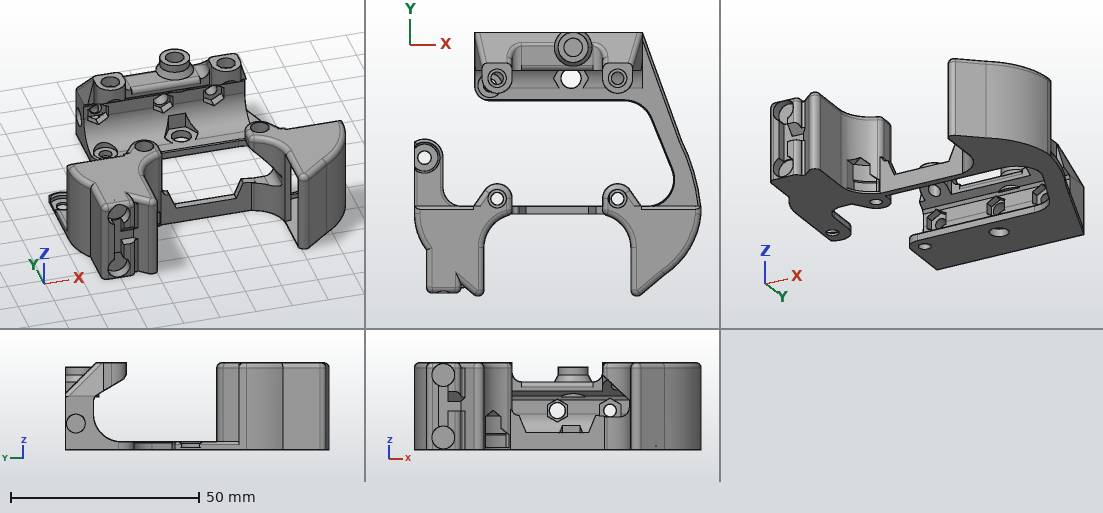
import cadquery as cq
import math


LEFT = -38.0
RIGHT = 38.2
BACK = 28.2
TOP = 23.2
PLATE = 2.2
DIAGONAL = math.sqrt(0.5)
DIAGONAL_GAP = 1 - DIAGONAL
CLEAR = 1.0

SCREW = 16.0
POST_R = 4.0
POST_SIDE = SCREW - POST_R
BORE_R = 2.45
BORE_DEPTH = 5.0
REAR_BORE_DEPTH = 3.0
SCREW_R = 1.65

REAR_FACE = -18.0
WALL_FACE = -20.1
MOUTH = 19.5
COVE_R = 8.9
COVE_X = MOUTH - COVE_R
COVE_Y = WALL_FACE - COVE_R
TIP_Y = -41.9
TIP_FLANK_X = 22.2
TIP_FLANK_RISE = 0.4
TIP_MIDDLE_RISE = 0.14
TIP_MOUTH_RISE = 1.6
TOP_FILLET = 1.5
POST_CORNER_R = 1.6
REAR_BEVEL = 0.8
POST_SLANT = math.radians(35)

NOSE_LEFT = -34.8
NOSE_RIGHT = -25.6
NOSE_FRONT = -41.1
NOTCH_Y = -38.6
WEB_RIGHT = -24.2
WEB_FRONT = -39.7
WEB_EDGE_R = 1.0
NOSE_CORNER_R = 1.6
MAGNET_X = -30.3
MAGNET_R = 3.03
MAGNET_DEPTH = 3.0
MAGNET_HEIGHTS = (3.3, 19.9)
GROOVE_DEPTH = 2.6
GROOVE_LEFT, GROOVE_RIGHT = -31.6, -29.0
WIRE_NOTCH_FLOOR = 10.3
WIRE_NOTCH_ROOF = 12.9

POCKET_LEFT = -19.1
POCKET_PEAK_RIGHT = -15.0
POCKET_RIGHT = -12.8
POCKET_FLOOR = 0.6
LOWER_SHOULDER = 4.0
LOWER_ROOF = 5.8
LOWER_DEPTH = 1.8
UPPER_SHOULDER = 8.8
UPPER_ROOF = 10.5
UPPER_DEPTH = 1.5

SHELL = 1.5
DUCT_TOP = TOP - SHELL
DUCT_LIP = 0.3
DUCT_FRONT = -40.2
DUCT_SIDE_Y = -28.2
LEDGE = 8.8
WINDOW_SIDE = 19.1
WINDOW_SIDE_TOP = 13.2
WINDOW_TOP = 19.9
WINDOW_R = 2.5

DIP_FLOOR = 4.6
DIP_HALF_FLOOR = 8.3
DIP_HALF_TOP = 10.2
DIP_SHOULDER = 9.2
LEFT_SHOULDER_TOP = 10.7

ARM_ELBOW_X = 22.9
ARM_ELBOW_R = 7.7
ARM_HEEL_X = 34.35
ARM_HEEL_R = 7.1
ARM_ROOT_X = 23.0
ARM_OUTER_BEVEL = 0.7
PLATE_FRONT_BEVEL = 0.3

EAR_X, EAR_Y, EAR_R = -35.3, -5.1, 4.95
EAR_ROOT_R = 5.0
EAR_EDGE_R = 0.7
EAR_HOLE_R = 1.75
EAR_SEAT_R = 3.6
EAR_SEAT_Z = 0.7
EAR_RIM_R = 4.1
EAR_RIM_DEPTH = 0.5
EAR_RIM_BEVEL = 0.49

BLOCK_LEFT = -22.0
BLOCK_RIGHT = 22.6
BLOCK_CORNER_R = 4.1
CORNER_SCREW_R = 1.7
CORNER_SEAT_R = 3.2
CORNER_SEAT_Z = 1.7
PLATE_FRONT = 10.0
WALL_INNER = 20.7
WALL_TOP = 13.3
WALL_LIMIT = 13.5
SCOOP_FRONT = 13.4
SCOOP_R = WALL_INNER - SCOOP_FRONT
UNDERCUT_Y, UNDERCUT_Z = 20.2, 14.35
POST_TOE_Y, POST_TOE_Z = 12.6, 18.9
POST_FRONT_Z = 20.1
ARM_BASE = 14.3
BACK_SLOPE = 43.2
SLOPE_FOOT = BACK_SLOPE - BACK
ARM_EDGE_R = 1.4
ARM_BLEND_R = 2.5
RAIL_FRONT = 18.0
RAIL_TOP = 18.1
RAIL_FILLET = 1.4
STUB_X = 4.2
STUB_Y = BACK - POST_R
STUB_TOP = 22.0
STUB_FLARE = 1.0
STUB_FLARE_HEIGHT = 1.8
NUT_Z = 10.45
NUT_DEPTH = 2.5
WALL_NUTS = ((-18.0, 5.7, SCREW_R), (0.0, 5.3, 2.1), (14.0, 5.7, SCREW_R))
FLOOR_NUT_X = 3.64
FLOOR_NUT_FLATS = 8.1
FLOOR_NUT_HEIGHT = 5.1
FLOOR_HOLE_R = 2.65
PIN_Y, PIN_Z, PIN_R, PIN_DEPTH = 25.4, 7.0, 2.5, 6.0


def box(x0, x1, y0, y1, z0, z1):
    return cq.Workplane("XY", origin=(x0, y0, z0)).box(x1 - x0, y1 - y0, z1 - z0, centered=False)


def rod(x, y, radius, z0, z1):
    return cq.Workplane("XY", origin=(x, y, z0)).circle(radius).extrude(z1 - z0)


def along_y(profile, y0, y1):
    """Extrude an XZ profile from y0 to y1."""
    return profile.extrude(y0 - y1).translate((0, y0, 0))


def along_x(profile, x0, x1):
    """Extrude a YZ profile from x0 to x1."""
    return profile.extrude(x1 - x0).translate((x0, 0, 0))


def hexagon(workplane, across_flats, turn):
    return workplane.transformed(rotate=(0, 0, turn)).polygon(6, across_flats / math.cos(math.pi / 6))


def region(x0, x1, y0, y1, z0=-CLEAR, z1=TOP + CLEAR):
    """Selector for the edges whose centres lie inside a box."""
    return cq.selectors.BoxSelector((x0, y0, z0), (x1, y1, z1))


def close_over_post(outline, side):
    """Continue an outline round the tip, along the mouth and cove and over the post to the rear face."""
    tangent_x = SCREW + POST_R * math.cos(POST_SLANT)
    tangent_y = -SCREW + POST_R * math.sin(POST_SLANT)
    flank_x = tangent_x + (tangent_y - REAR_FACE) * math.tan(POST_SLANT)
    cove_end_y = COVE_Y + math.sqrt(COVE_R**2 - (POST_SIDE - COVE_X) ** 2)
    return (
        outline.lineTo(side * TIP_FLANK_X, TIP_Y + TIP_FLANK_RISE)
        .threePointArc(
            (side * (MOUTH + 1.0), TIP_Y + TIP_MIDDLE_RISE),
            (side * MOUTH, TIP_Y + TIP_MOUTH_RISE),
        )
        .lineTo(side * MOUTH, COVE_Y)
        .threePointArc(
            (side * (COVE_X + COVE_R * DIAGONAL), COVE_Y + COVE_R * DIAGONAL),
            (side * POST_SIDE, cove_end_y),
        )
        .lineTo(side * POST_SIDE, -SCREW)
        .threePointArc((side * SCREW, POST_R - SCREW), (side * tangent_x, tangent_y))
        .lineTo(side * flank_x, REAR_FACE)
        .close()
    )


def round_post_corner(body, side):
    """Round the upright corner where the post flank meets the cove."""
    x = side * POST_SIDE
    corner = region(x - 0.1, x + 0.1, WALL_FACE - 0.5, WALL_FACE + 0.1)
    return body.edges("|Z").edges(corner).fillet(POST_CORNER_R)


def finish_top(body, side):
    """Round the top rim and bevel its straight rear edge."""
    rim = body.faces(">Z").edges().vals()
    rear_rim = [edge for edge in rim if abs(edge.Center().y - REAR_FACE) < 0.01]
    round_rim = [edge for edge in rim if abs(edge.Center().y - REAR_FACE) >= 0.01]
    ends = [side * vertex.X for edge in rear_rim for vertex in edge.Vertices()]
    body = cq.Workplane(obj=body.val().fillet(TOP_FILLET, round_rim))
    bevel = (
        cq.Workplane("YZ")
        .moveTo(REAR_FACE, TOP)
        .lineTo(REAR_FACE - REAR_BEVEL, TOP)
        .lineTo(REAR_FACE, TOP - REAR_BEVEL)
        .close()
    )
    first, last = sorted((side * min(ends), side * max(ends)))
    return body.cut(along_x(bevel, first, last))


def bore_post(body, x, y, bore_depth):
    body = body.cut(rod(x, y, SCREW_R, -CLEAR, TOP + CLEAR))
    return body.cut(rod(x, y, BORE_R, TOP - bore_depth, TOP + CLEAR))


def nose_details(body):
    """Web in the notch, magnet pockets, wire groove and wire notch on the nose."""
    for height in MAGNET_HEIGHTS:
        pocket = cq.Workplane("XZ").center(MAGNET_X, height).circle(MAGNET_R)
        body = body.cut(along_y(pocket, NOSE_FRONT, NOSE_FRONT + MAGNET_DEPTH))
    groove_back = NOSE_FRONT + GROOVE_DEPTH
    groove = box(GROOVE_LEFT, GROOVE_RIGHT, NOSE_FRONT, groove_back, *MAGNET_HEIGHTS)
    profile = (
        cq.Workplane("YZ")
        .moveTo(NOSE_FRONT, WIRE_NOTCH_FLOOR)
        .lineTo(groove_back, WIRE_NOTCH_FLOOR)
        .lineTo(groove_back, WIRE_NOTCH_ROOF)
        .lineTo(NOSE_FRONT, WIRE_NOTCH_ROOF + GROOVE_DEPTH)
        .close()
    )
    web = box(NOSE_RIGHT - CLEAR, WEB_RIGHT, WEB_FRONT, NOTCH_Y, 0, TOP - TOP_FILLET)
    web = web.edges("|Z and >X and <Y").fillet(WEB_EDGE_R)
    notch = along_x(profile, GROOVE_RIGHT, WEB_RIGHT)
    behind_web = box(NOSE_RIGHT, WEB_RIGHT, NOSE_FRONT, groove_back, 0, TOP)
    body = body.cut(groove).cut(notch.cut(behind_web))
    return body.union(web.cut(notch))


def ring_recess(depth, floor, roof):
    """Band cut into the left cove whose roof falls at 45 degrees with depth."""
    band = (
        cq.Workplane("XZ")
        .moveTo(COVE_R - CLEAR, floor)
        .lineTo(COVE_R + depth, floor)
        .lineTo(COVE_R + depth, roof - depth)
        .lineTo(COVE_R - CLEAR, roof + CLEAR)
        .close()
    )
    return band.revolve(360, (0, 0, 0), (0, 1, 0)).translate((-COVE_X, COVE_Y, 0))


def cove_pocket():
    """Stepped recess in the left cove: a wide lower band under a narrow pointed one."""
    outline = (
        cq.Workplane("XZ")
        .moveTo(POCKET_LEFT, POCKET_FLOOR)
        .lineTo(POCKET_RIGHT, POCKET_FLOOR)
        .lineTo(POCKET_RIGHT, LOWER_SHOULDER)
        .lineTo(POCKET_PEAK_RIGHT, LOWER_ROOF)
        .lineTo(POCKET_PEAK_RIGHT, UPPER_SHOULDER)
        .lineTo((POCKET_LEFT + POCKET_PEAK_RIGHT) / 2, UPPER_ROOF)
        .lineTo(POCKET_LEFT, UPPER_SHOULDER)
        .close()
    )
    lower = ring_recess(LOWER_DEPTH, POCKET_FLOOR, LOWER_ROOF)
    bands = lower.union(ring_recess(UPPER_DEPTH, POCKET_FLOOR, UPPER_ROOF))
    upper_limit = box(LEFT, POCKET_PEAK_RIGHT, COVE_Y, REAR_FACE, 0, TOP)
    lower_limit = box(LEFT, POCKET_RIGHT, COVE_Y, REAR_FACE, 0, LOWER_ROOF)
    return along_y(outline, COVE_Y, REAR_FACE).intersect(bands).intersect(upper_limit.union(lower_limit))


def left_housing():
    outline = (
        cq.Workplane("XY")
        .moveTo(LEFT, REAR_FACE)
        .lineTo(LEFT, -19.9)
        .threePointArc((-37.3, -24.7), (NOSE_LEFT, -29.6))
        .lineTo(NOSE_LEFT, NOSE_FRONT)
        .lineTo(NOSE_RIGHT, NOSE_FRONT)
        .lineTo(NOSE_RIGHT, NOTCH_Y)
    )
    body = round_post_corner(close_over_post(outline, -1).extrude(TOP), -1)
    nose_corners = region(NOSE_LEFT - 1, NOSE_RIGHT + 1, NOSE_FRONT - 0.1, NOSE_FRONT + 0.1)
    body = body.edges("|Z").edges(nose_corners).fillet(NOSE_CORNER_R)
    body = nose_details(finish_top(body, -1)).cut(cove_pocket())
    return bore_post(body, -SCREW, -SCREW, BORE_DEPTH)


def duct():
    """Air passage from the rear face to the mouth, with a floor falling towards the mouth."""
    inner_wall = COVE_X + COVE_R + SHELL
    plan = (
        cq.Workplane("XY")
        .moveTo(inner_wall, REAR_FACE)
        .lineTo(RIGHT - SHELL, REAR_FACE)
        .lineTo(RIGHT - SHELL, -20.4)
        .threePointArc((33.7, -28.8), (27.6, -35.0))
        .lineTo(21.4, DUCT_FRONT)
        .lineTo(MOUTH - CLEAR, DUCT_FRONT)
        .lineTo(MOUTH - CLEAR, DUCT_SIDE_Y)
        .lineTo(inner_wall, DUCT_SIDE_Y)
        .close()
        .extrude(DUCT_TOP)
    )
    above_floor = (
        cq.Workplane("XZ")
        .moveTo(MOUTH - CLEAR, DUCT_LIP)
        .lineTo(MOUTH, DUCT_LIP)
        .lineTo(RIGHT - SHELL, PLATE)
        .lineTo(RIGHT - SHELL, TOP)
        .lineTo(MOUTH - CLEAR, TOP)
        .close()
    )
    return plan.intersect(along_y(above_floor, TIP_Y, REAR_FACE))


def window():
    """Opening under the right post: level sill, sloping roof, through the cove wall."""
    profile = (
        cq.Workplane("XZ")
        .moveTo(POST_SIDE - CLEAR, LEDGE)
        .lineTo(WINDOW_SIDE - WINDOW_R, LEDGE)
        .threePointArc(
            (WINDOW_SIDE - WINDOW_R * DIAGONAL_GAP, LEDGE + WINDOW_R * DIAGONAL_GAP),
            (WINDOW_SIDE, LEDGE + WINDOW_R),
        )
        .lineTo(WINDOW_SIDE, WINDOW_SIDE_TOP)
        .lineTo(POST_SIDE, WINDOW_TOP)
        .lineTo(POST_SIDE - CLEAR, WINDOW_TOP)
        .close()
    )
    return along_y(profile, COVE_Y, POST_R - SCREW + CLEAR)


def right_housing():
    outline = (
        cq.Workplane("XY")
        .moveTo(RIGHT, REAR_FACE)
        .lineTo(RIGHT, -20.0)
        .threePointArc((35.0, -29.5), (28.5, -36.2))
    )
    body = round_post_corner(close_over_post(outline, 1).extrude(TOP), 1)
    body = finish_top(body, 1)
    under_post = box(POST_SIDE - CLEAR, RIGHT, REAR_FACE, POST_R - SCREW + CLEAR, -CLEAR, WINDOW_SIDE_TOP)
    body = body.cut(under_post).cut(window()).cut(duct())
    return bore_post(body, SCREW, -SCREW, BORE_DEPTH)


def low_wall():
    """Wall between the housings with a trapezoidal dip in its top edge."""
    reach = POST_SIDE + POST_CORNER_R
    profile = (
        cq.Workplane("XZ")
        .moveTo(-reach, 0)
        .lineTo(reach, 0)
        .lineTo(reach, LEDGE)
        .lineTo(DIP_HALF_TOP, DIP_SHOULDER)
        .lineTo(DIP_HALF_FLOOR, DIP_FLOOR)
        .lineTo(-DIP_HALF_FLOOR, DIP_FLOOR)
        .lineTo(-DIP_HALF_TOP, DIP_SHOULDER)
        .lineTo(-COVE_X, DIP_SHOULDER)
        .threePointArc((-11.5, DIP_SHOULDER + 0.4), (-POST_SIDE, LEFT_SHOULDER_TOP))
        .lineTo(-reach, LEFT_SHOULDER_TOP)
        .close()
    )
    wall = along_y(profile, WALL_FACE, REAR_FACE)
    for x in (-COVE_X, COVE_X):
        outside = box(min(x, 2 * x), max(x, 2 * x), COVE_Y, REAR_FACE, 0, TOP)
        wall = wall.cut(outside.intersect(rod(x, COVE_Y, COVE_R, 0, TOP)))
    return wall


def side_arm():
    """Plate from the rear block down the right side to the right housing."""
    plate = (
        cq.Workplane("XY")
        .moveTo(BLOCK_LEFT, BACK)
        .lineTo(BLOCK_RIGHT, BACK)
        .lineTo(33.0, -0.5)
        .threePointArc((36.4, -9.3), (RIGHT, REAR_FACE - CLEAR))
        .lineTo(ARM_ROOT_X, REAR_FACE - CLEAR)
        .lineTo(ARM_ROOT_X, REAR_FACE)
        .lineTo(ARM_HEEL_X, REAR_FACE)
        .lineTo(ARM_ELBOW_X, PLATE_FRONT)
        .lineTo(BLOCK_LEFT, PLATE_FRONT)
        .close()
        .extrude(PLATE)
    )
    heel = region(ARM_HEEL_X - 0.1, ARM_HEEL_X + 0.1, REAR_FACE - 0.1, REAR_FACE + 0.1)
    elbow = region(ARM_ELBOW_X - 0.1, ARM_ELBOW_X + 0.1, PLATE_FRONT - 0.1, PLATE_FRONT + 0.1)
    front_edge = region(-5, 5, PLATE_FRONT - 0.1, PLATE_FRONT + 0.1)
    outer_edges = region(27.5, 30, 12, 15) + region(33, 38, -15, 0)
    plate = plate.edges("|Z").edges(heel).fillet(ARM_HEEL_R)
    plate = plate.edges("|Z").edges(elbow).fillet(ARM_ELBOW_R)
    plate = plate.faces(">Z").edges(front_edge).chamfer(PLATE_FRONT_BEVEL)
    return plate.faces(">Z").edges(outer_edges).chamfer(ARM_OUTER_BEVEL)


def screw_ear():
    """Flat ear behind the left housing with a counterbored screw hole."""
    ear_right = EAR_X + EAR_R
    left_end_y = EAR_Y + math.sqrt(EAR_R**2 - (LEFT - EAR_X) ** 2)
    plate = (
        cq.Workplane("XY")
        .moveTo(LEFT, REAR_FACE - CLEAR)
        .lineTo(ear_right + EAR_ROOT_R, REAR_FACE - CLEAR)
        .lineTo(ear_right + EAR_ROOT_R, REAR_FACE)
        .threePointArc(
            (ear_right + EAR_ROOT_R * DIAGONAL_GAP, REAR_FACE + EAR_ROOT_R * DIAGONAL_GAP),
            (ear_right, REAR_FACE + EAR_ROOT_R),
        )
        .lineTo(ear_right, EAR_Y)
        .threePointArc((EAR_X, EAR_Y + EAR_R), (LEFT, left_end_y))
        .close()
        .extrude(PLATE)
    )
    rim = region(LEFT - 1, ear_right + EAR_ROOT_R, REAR_FACE + 0.1, 2)
    plate = plate.faces(">Z").edges(rim).fillet(EAR_EDGE_R)
    plate = plate.cut(rod(EAR_X, EAR_Y, EAR_HOLE_R, -CLEAR, PLATE))
    seat = rod(EAR_X, EAR_Y, EAR_SEAT_R, EAR_SEAT_Z, PLATE)
    seat_rim = rod(EAR_X, EAR_Y, EAR_RIM_R, PLATE - EAR_RIM_DEPTH, PLATE)
    return plate.cut(seat.union(seat_rim.faces("<Z").chamfer(EAR_RIM_BEVEL)))


def side_profile():
    """YZ section of the rear block: floor, scooped wall, sloping arm and post."""
    scoop_z = PLATE + SCOOP_R
    return (
        cq.Workplane("YZ")
        .moveTo(SCOOP_FRONT, 0)
        .lineTo(BACK, 0)
        .lineTo(BACK, SLOPE_FOOT)
        .lineTo(BACK_SLOPE - TOP, TOP)
        .lineTo(POST_SIDE, TOP)
        .lineTo(POST_SIDE, POST_FRONT_Z)
        .lineTo(POST_TOE_Y, POST_TOE_Z)
        .lineTo(UNDERCUT_Y, UNDERCUT_Z)
        .lineTo(WALL_INNER, WALL_TOP)
        .lineTo(WALL_INNER, scoop_z)
        .threePointArc(
            (SCOOP_FRONT + SCOOP_R * DIAGONAL, scoop_z - SCOOP_R * DIAGONAL),
            (SCOOP_FRONT, PLATE),
        )
        .close()
    )


def front_profile():
    """XZ outline of the rear block: two leaning arms joined by the rail."""
    blend_x = POST_SIDE - ARM_BLEND_R
    blend_z = RAIL_TOP + ARM_BLEND_R
    middle_x = blend_x + ARM_BLEND_R * DIAGONAL
    middle_z = blend_z - ARM_BLEND_R * DIAGONAL
    return (
        cq.Workplane("XZ")
        .moveTo(BLOCK_LEFT, 0)
        .lineTo(BLOCK_RIGHT, 0)
        .lineTo(BLOCK_RIGHT, ARM_BASE)
        .lineTo(SCREW + POST_R, TOP)
        .lineTo(POST_SIDE, TOP)
        .lineTo(POST_SIDE, blend_z)
        .threePointArc((middle_x, middle_z), (blend_x, RAIL_TOP))
        .lineTo(-blend_x, RAIL_TOP)
        .threePointArc((-middle_x, middle_z), (-POST_SIDE, blend_z))
        .lineTo(-POST_SIDE, TOP)
        .lineTo(-SCREW - POST_R, TOP)
        .lineTo(BLOCK_LEFT, ARM_BASE)
        .close()
    )


def upper_plan():
    """Plan limits of the block: rail strip and two rounded posts above the full-width wall."""
    plan = box(BLOCK_LEFT, BLOCK_RIGHT, RAIL_FRONT, BACK, 0, TOP)
    for x in (-SCREW, SCREW):
        plan = plan.union(rod(x, SCREW, POST_R, 0, TOP))
        plan = plan.union(box(x - POST_R, x + POST_R, SCREW, BACK, 0, TOP))
    return plan.union(box(BLOCK_LEFT, BLOCK_RIGHT, SCOOP_FRONT - CLEAR, BACK, 0, WALL_LIMIT))


def round_rear_slope(block):
    """Round the edges of the rear slope along the arms and the rail."""
    chosen = []
    for edge in block.edges().vals():
        ends = (edge.startPoint(), edge.endPoint())
        on_slope = all(abs(end.y + end.z - BACK_SLOPE) < 0.01 for end in ends)
        if on_slope and SLOPE_FOOT + 0.1 < edge.Center().z < TOP - 0.1:
            chosen.append(edge)
    return cq.Workplane(obj=block.val().fillet(ARM_EDGE_R, chosen))


def round_rail_front(block):
    """Round the upper front edge of the rail between the arm blends."""
    half = POST_SIDE - ARM_BLEND_R
    round_y = RAIL_FRONT + RAIL_FILLET
    round_z = RAIL_TOP - RAIL_FILLET
    sharp = box(-half, half, RAIL_FRONT - CLEAR, round_y, round_z, RAIL_TOP + CLEAR)
    rounding = along_x(cq.Workplane("YZ").center(round_y, round_z).circle(RAIL_FILLET), -half, half)
    return block.cut(sharp.cut(rounding))


def rear_stub():
    """Short post on the rail, flared at its foot and trimmed flush with the back."""
    foot_z = RAIL_TOP - POST_R
    flare = rod(STUB_X, STUB_Y, POST_R + STUB_FLARE, foot_z, RAIL_TOP + STUB_FLARE_HEIGHT)
    flare = flare.faces(">Z").chamfer(STUB_FLARE_HEIGHT, STUB_FLARE)
    stub = rod(STUB_X, STUB_Y, POST_R, foot_z, STUB_TOP).union(flare)
    return stub.intersect(box(BLOCK_LEFT, BLOCK_RIGHT, RAIL_FRONT, BACK, 0, TOP))


def rear_block():
    block = along_x(side_profile(), BLOCK_LEFT, BLOCK_RIGHT)
    block = block.intersect(along_y(front_profile(), 0, BACK)).intersect(upper_plan())
    block = round_rail_front(round_rear_slope(block))
    return block.union(rear_stub())


def cut_nuts(body):
    """Cut the wall nut pockets with their through holes and the large nut seat in the floor."""
    for x, flats, hole_r in WALL_NUTS:
        hole = cq.Workplane("XZ", origin=(x, BACK + CLEAR, NUT_Z)).circle(hole_r)
        seat = hexagon(cq.Workplane("XZ", origin=(x, WALL_INNER + NUT_DEPTH, NUT_Z)), flats, 30)
        body = body.cut(hole.extrude(BACK - SCOOP_FRONT))
        body = body.cut(seat.extrude(NUT_DEPTH + SCOOP_R / 2))
    body = body.cut(rod(FLOOR_NUT_X, SCREW, FLOOR_HOLE_R, -CLEAR, PLATE + CLEAR))
    floor_seat = cq.Workplane("XY", origin=(FLOOR_NUT_X, SCREW, PLATE))
    return body.cut(hexagon(floor_seat, FLOOR_NUT_FLATS, 0).extrude(FLOOR_NUT_HEIGHT))


def cut_floor_corner(body):
    """Round the free corner of the floor and sink its counterbored screw hole."""
    x = BLOCK_LEFT + BLOCK_CORNER_R
    y = PLATE_FRONT + BLOCK_CORNER_R
    corner = box(BLOCK_LEFT - CLEAR, x, PLATE_FRONT - CLEAR, y, -CLEAR, ARM_BASE)
    body = body.cut(corner.cut(rod(x, y, BLOCK_CORNER_R, -CLEAR, ARM_BASE)))
    body = body.cut(rod(x, y, CORNER_SCREW_R, -CLEAR, PLATE))
    return body.cut(rod(x, y, CORNER_SEAT_R, CORNER_SEAT_Z, WALL_TOP - CLEAR))


def cut_rear_bores(body):
    """Bore the two rear posts, the stub and the pin hole in the left side of the block."""
    for x in (-SCREW, SCREW):
        body = body.cut(rod(x, SCREW, SCREW_R, PLATE + SCOOP_R, TOP + CLEAR))
        body = body.cut(rod(x, SCREW, BORE_R, TOP - REAR_BORE_DEPTH, TOP + CLEAR))
    body = body.cut(rod(STUB_X, STUB_Y, BORE_R, STUB_TOP - BORE_DEPTH, TOP))
    pin = cq.Workplane("YZ").center(PIN_Y, PIN_Z).circle(PIN_R)
    return body.cut(along_x(pin, BLOCK_LEFT, BLOCK_LEFT + PIN_DEPTH))


bracket = left_housing().union(right_housing()).union(low_wall()).union(side_arm()).union(screw_ear())
bracket = bracket.union(rear_block())
result = cut_rear_bores(cut_floor_corner(cut_nuts(bracket)))